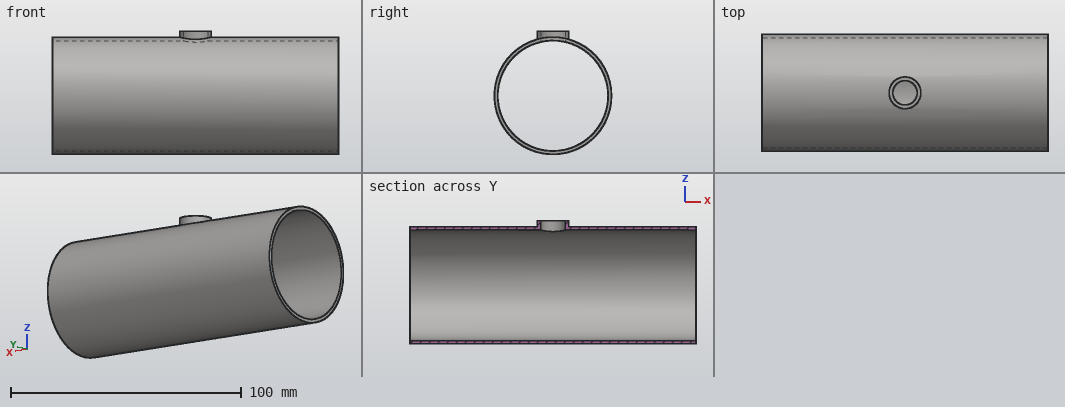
import cadquery as cq

tube_length = 124.0
tube_outer_diameter = 50.8
tube_inner_diameter = 47.7

branch_outer_diameter = 13.8
branch_bore_diameter = 10.5
branch_height = 2.6

branch_top = tube_outer_diameter / 2 + branch_height


def cylinder_along_x(diameter):
    """Full-length cylinder on the tube axis."""
    return (
        cq.Workplane("YZ")
        .workplane(offset=-tube_length / 2)
        .circle(diameter / 2)
        .extrude(tube_length)
    )


def cylinder_up(diameter):
    """Upright cylinder from the tube axis to the top of the branch."""
    return cq.Workplane("XY").circle(diameter / 2).extrude(branch_top)


outer_body = cylinder_along_x(tube_outer_diameter).union(cylinder_up(branch_outer_diameter))
tube_bore = cylinder_along_x(tube_inner_diameter)
branch_bore = cylinder_up(branch_bore_diameter)

result = outer_body.cut(tube_bore).cut(branch_bore)